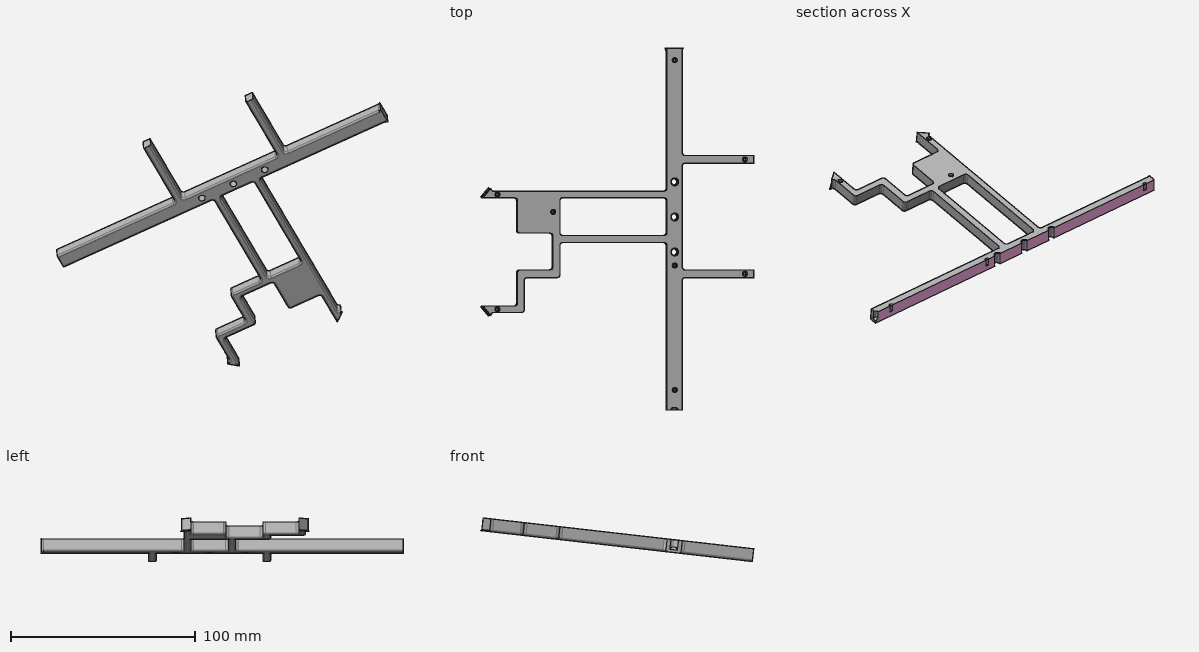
import cadquery as cq
import math

TILT = 6.5
THICKNESS = 7.0
LENGTH = 147.5
CORNER_RADIUS = 1.5
BOTTOM_RADIUS = 1.0
TRIM_EXTRA = 9.8

BAR_LENGTH = 195.9
BAR_WIDTH = 8.2
BAR_X = 104.5
BAR_HALF = BAR_LENGTH / 2
BAR_LEFT = BAR_X - BAR_WIDTH / 2
FLARE_LENGTH = 1.2

ARM_WIDTH = 4.3
LOWER_ARM_Y = -24.0
UPPER_ARM_Y = 37.8

CLIP_ARM_WIDTH = 3.5
UPPER_CLIP_Y = 18.8
LOWER_CLIP_Y = -43.3
MIDDLE_ARM_Y = -5.3
MIDDLE_ARM_WIDTH = 4.0
LEG_WIDTH = 3.7
PLATE_LEFT = 18.8
PLATE_RIGHT = 42.0
PLATE_BOTTOM = -2.2

TIP_ANGLE = 50.0
TIP_RISE = 5.0
TIP_BACK = 0.5
FOOT = 0.69
TIP_RUN = TIP_RISE / math.tan(math.radians(TIP_ANGLE))
TIP_INNER = -CLIP_ARM_WIDTH / 2
TIP_OUTER = CLIP_ARM_WIDTH / 2
TIP_STRETCH = 10
WASTE_STRETCH = 4
CLIPS = ((UPPER_CLIP_Y, 1), (LOWER_CLIP_Y, -1))

BOLT_HOLE_DIAMETER = 3.5
BOLT_RIM_DIAMETER = 4.3
BOLT_HOLE_Y = 6.7
BOLT_HOLE_PITCH = 19.0
PIN_HOLE_DIAMETER = 1.5
PIN_RIM_DIAMETER = 2.7
PIN_HOLE_DEPTH = 4.0
BAR_PIN_HOLES_Y = (91.5, -19.5, -87.0)
ARM_PIN_INSET = 4.9
CLIP_PIN_X = 7.8
PLATE_PIN = (38.2, 9.5)
NOTCH_RADIUS = 2.2
NOTCH_OFFSET = 0.5
NOTCH_DEPTH = 5.5


def block(x_min, x_max, y_min, y_max):
    """Box of full thickness between the given sides."""
    return (
        cq.Workplane("XY")
        .box(x_max - x_min, y_max - y_min, THICKNESS, centered=False)
        .translate((x_min, y_min, -THICKNESS))
    )


def beam(x_min, x_max, y_mid, width):
    """Beam along X about the line y = y_mid."""
    return block(x_min, x_max, y_mid - width / 2, y_mid + width / 2)


def make_frame():
    """Rounded frame, with square bar and arm ends and slanted clip tips."""
    over = TRIM_EXTRA
    leg_right = PLATE_LEFT + LEG_WIDTH
    frame = block(BAR_LEFT, BAR_LEFT + BAR_WIDTH, -BAR_HALF - over, BAR_HALF + over)
    for y_mid in (LOWER_ARM_Y, UPPER_ARM_Y):
        frame = frame.union(beam(BAR_X, LENGTH + over, y_mid, ARM_WIDTH))
    frame = frame.union(beam(-over, BAR_X, UPPER_CLIP_Y, CLIP_ARM_WIDTH))
    frame = frame.union(beam(PLATE_RIGHT - LEG_WIDTH, BAR_X, MIDDLE_ARM_Y, MIDDLE_ARM_WIDTH))
    frame = frame.union(block(PLATE_LEFT, PLATE_RIGHT, PLATE_BOTTOM, UPPER_CLIP_Y))
    step_bottom = LOWER_ARM_Y - ARM_WIDTH / 2
    frame = frame.union(block(PLATE_RIGHT - LEG_WIDTH, PLATE_RIGHT, step_bottom, PLATE_BOTTOM))
    frame = frame.union(beam(PLATE_LEFT, PLATE_RIGHT, LOWER_ARM_Y, ARM_WIDTH))
    clip_bottom = LOWER_CLIP_Y - CLIP_ARM_WIDTH / 2
    frame = frame.union(block(PLATE_LEFT, leg_right, clip_bottom, LOWER_ARM_Y))
    frame = frame.union(beam(-over, leg_right, LOWER_CLIP_Y, CLIP_ARM_WIDTH))

    for arm_y, side in CLIPS:
        frame = frame.union(place_tip(hook_blank(), arm_y, side))

    frame = frame.clean().edges("|Z").fillet(CORNER_RADIUS)
    frame = frame.faces("<Z").edges().fillet(BOTTOM_RADIUS)
    frame = frame.intersect(block(-over, LENGTH, -BAR_HALF, BAR_HALF))
    for arm_y, side in CLIPS:
        frame = frame.cut(place_tip(slant_waste(), arm_y, side))
    return frame


def make_flare(side):
    """Concave widening of the bar at its +Y end, on the side given by -1 or 1."""
    edge = BAR_X + side * BAR_WIDTH / 2
    start = BAR_HALF - FLARE_LENGTH

    def on_arc(run):
        spread = CORNER_RADIUS - math.sqrt(CORNER_RADIUS**2 - run**2)
        return (edge + side * spread, start + run)

    return (
        cq.Workplane("XY")
        .moveTo(edge, start)
        .threePointArc(on_arc(FLARE_LENGTH / 2), on_arc(FLARE_LENGTH))
        .lineTo(BAR_X, BAR_HALF)
        .lineTo(BAR_X, start)
        .close()
        .extrude(-THICKNESS)
    )


def place_tip(shape, arm_y, side):
    """Move a tip shape onto its clip arm, hooked toward side (-1 or 1) of the arm."""
    if side < 0:
        shape = shape.mirror("XZ")
    return shape.translate((0, arm_y, 0))


def hook_blank():
    """Spur off the outer edge of a clip arm, running on past the slanted face."""
    shoulder = (TIP_RUN + TIP_BACK, TIP_OUTER)
    peak = (TIP_RUN, TIP_INNER + TIP_RISE)
    end = (
        shoulder[0] + TIP_STRETCH * (peak[0] - shoulder[0]),
        shoulder[1] + TIP_STRETCH * (peak[1] - shoulder[1]),
    )
    return (
        cq.Workplane("XY")
        .polyline([(shoulder[0], 0), shoulder, end, (-TRIM_EXTRA, end[1]), (-TRIM_EXTRA, 0)])
        .close()
        .extrude(-THICKNESS)
    )


def slant_waste():
    """Everything beyond the slanted face of a tip."""
    far = -WASTE_STRETCH * TRIM_EXTRA
    low = (-WASTE_STRETCH * TIP_RUN, TIP_INNER - WASTE_STRETCH * TIP_RISE)
    high = (WASTE_STRETCH * TIP_RUN, TIP_INNER + WASTE_STRETCH * TIP_RISE)
    return (
        cq.Workplane("XY")
        .polyline([low, high, (far, high[1]), (far, low[1])])
        .close()
        .extrude(-THICKNESS)
    )


def tip_foot():
    """45 degree foot along the bottom of the slanted face."""
    slope = math.radians(TIP_ANGLE)
    along_face = cq.Plane(
        origin=(0, TIP_INNER, -THICKNESS),
        xDir=(-math.sin(slope), math.cos(slope), 0),
        normal=(math.cos(slope), math.sin(slope), 0),
    )
    return (
        cq.Workplane(along_face)
        .polyline([(0, 0), (FOOT, 0), (0, FOOT)])
        .close()
        .extrude(math.hypot(TIP_RUN, TIP_RISE))
    )


def countersunk_hole(x, y, diameter, rim_diameter, depth):
    """Hole from the top face, with a 45 degree countersink at its rim."""
    radius = diameter / 2
    rim = rim_diameter / 2
    return (
        cq.Workplane("XZ")
        .polyline([(0, 0), (rim, 0), (radius, radius - rim), (radius, -depth), (0, -depth)])
        .close()
        .revolve(360, (0, 0, 0), (0, 1, 0))
        .translate((x, y, 0))
    )


def make_notch():
    """Round notch in the -Y end of the bar, with a floor falling at 45 degrees."""
    back = NOTCH_RADIUS - NOTCH_OFFSET
    well = (
        cq.Workplane("XY")
        .center(BAR_X, -BAR_HALF - NOTCH_OFFSET)
        .circle(NOTCH_RADIUS)
        .extrude(-THICKNESS)
    )
    profile = (
        cq.Workplane("YZ")
        .workplane(offset=BAR_X - NOTCH_RADIUS)
        .polyline(
            [
                (-BAR_HALF, 0),
                (-BAR_HALF + back, 0),
                (-BAR_HALF + back, -NOTCH_DEPTH + back),
                (-BAR_HALF, -NOTCH_DEPTH),
            ]
        )
        .close()
        .extrude(2 * NOTCH_RADIUS)
    )
    return well.intersect(profile)


part = make_frame()
for flare_side in (-1, 1):
    part = part.union(make_flare(flare_side))
for clip_y, hook_side in CLIPS:
    part = part.union(place_tip(tip_foot(), clip_y, hook_side))

for step in (-1, 0, 1):
    bolt_y = BOLT_HOLE_Y + step * BOLT_HOLE_PITCH
    part = part.cut(
        countersunk_hole(BAR_X, bolt_y, BOLT_HOLE_DIAMETER, BOLT_RIM_DIAMETER, THICKNESS)
    )

pin_places = [(BAR_X, y) for y in BAR_PIN_HOLES_Y]
pin_places += [(LENGTH - ARM_PIN_INSET, y) for y in (LOWER_ARM_Y, UPPER_ARM_Y)]
pin_places += [(CLIP_PIN_X, y) for y in (LOWER_CLIP_Y, UPPER_CLIP_Y)]
pin_places.append(PLATE_PIN)
for pin_x, pin_y in pin_places:
    part = part.cut(
        countersunk_hole(pin_x, pin_y, PIN_HOLE_DIAMETER, PIN_RIM_DIAMETER, PIN_HOLE_DEPTH)
    )

part = part.cut(make_notch())

result = part.rotate((0, 0, 0), (0, 1, 0), TILT)